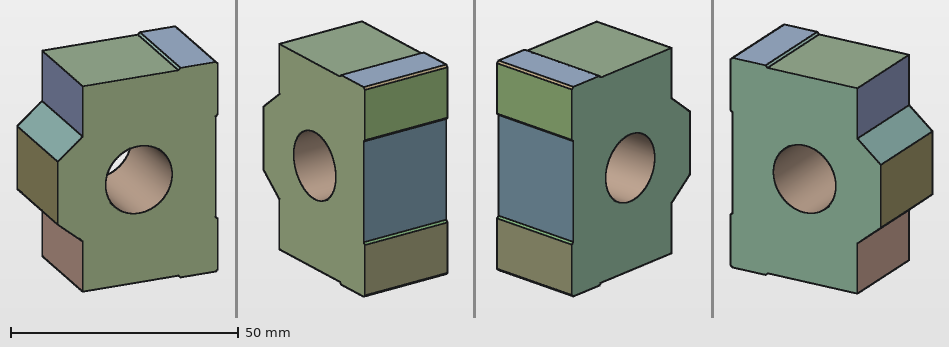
import cadquery as cq

width = 22.4
depth = 38.5
height = 50.0

pad_step = 0.5
pad_depth = 9.5
back_pad_height = 13.0

nose_depth = 6.0
nose_root_height = 25.0
nose_tip_height = 15.0

bore_diameter = 16.0
bore_from_back = 19.0

back_y = depth / 2
front_y = -depth / 2
body_front_y = front_y + nose_depth
pad_front_y = back_y - pad_depth
top_z = height / 2
body_top_z = top_z - pad_step
groove_edge_z = top_z - back_pad_height

upper_half = [
    (front_y, nose_tip_height / 2),
    (body_front_y, nose_root_height / 2),
    (body_front_y, body_top_z),
    (pad_front_y, body_top_z),
    (pad_front_y + pad_step, top_z),
    (back_y - pad_step, top_z),
    (back_y, body_top_z),
    (back_y, groove_edge_z + pad_step),
    (back_y - pad_step, groove_edge_z),
]
lower_half = [(y, -z) for y, z in reversed(upper_half)]

block = (
    cq.Workplane("YZ")
    .polyline(upper_half + lower_half)
    .close()
    .extrude(width / 2, both=True)
)

bore = (
    cq.Workplane("YZ")
    .center(back_y - bore_from_back, 0)
    .circle(bore_diameter / 2)
    .extrude(width / 2, both=True)
)

result = block.cut(bore)